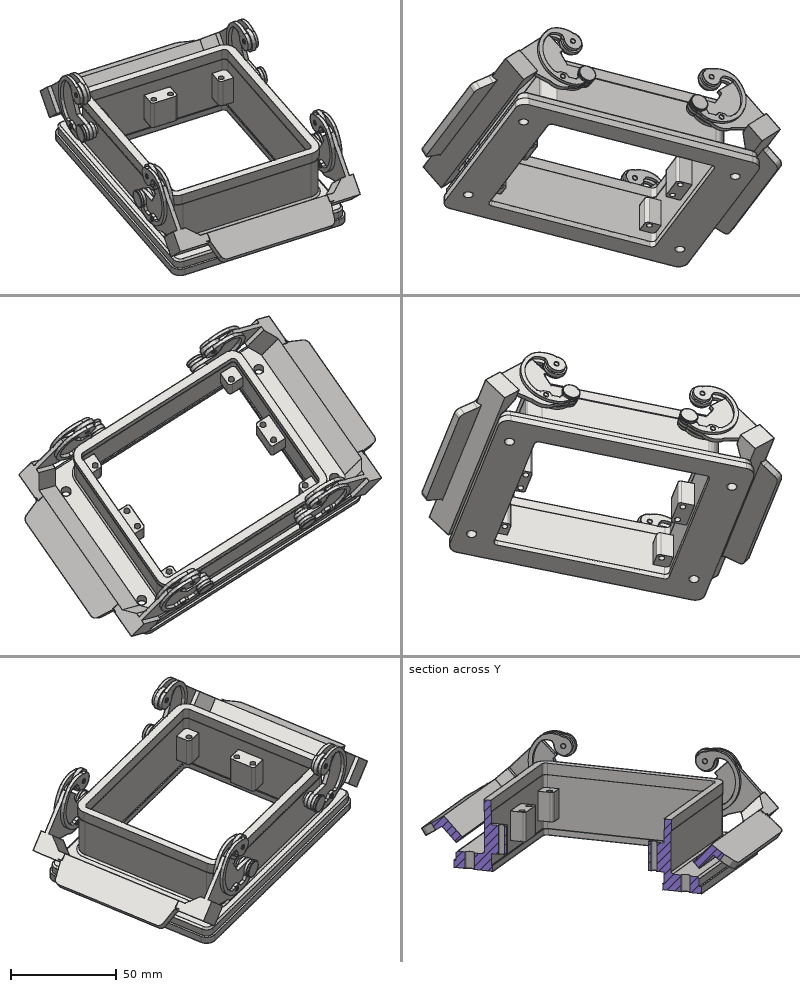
import cadquery as cq
import math

base_x, base_y, base_z = 126.1, 92.7, 3.7
base_corner = 4.9
collar_inset = 1.05
collar_top = 8.4
collar_edge = 1.0
bolt_x, bolt_y = 55.0, 32.5
bolt_diameter = 4.7

wall_x, wall_y = 95.2, 81.5
wall_corner = 6.3
foot_flare = 1.0
foot_chamfer = 0.95
rim_x, rim_y = 95.5, 82.5
rim_start, rim_top = 29.6, 35.3
window_x, window_y = 86.5, 72.6
window_corner = 2.1
lip_top = 3.0
lip_width = 0.6
rim_relief = 0.2

post_inner_x = 36.0
post_bottom, post_top = 8.7, 23.3
corner_post_y = 29.5
middle_post_y = 7.0
middle_post_edge, corner_post_edge = 1.3, 1.8
screw_x = 38.8
screw_ys = (4.5, 31.7)
screw_diameter = 2.7

plate_near, plate_far = 44.1, 46.2
cheek_near, cheek_far = 42.4, 47.9
ring_x, ring_z = 37.5, 34.0
ring_outer, ring_inner = 16.3, 14.2
tip_x, tip_z = 36.0, 42.9
tip_radius, roller_radius = 4.5, 5.5
pivot_x, pivot_z = 29.1, 25.0
pivot_cheek_radius, pivot_plate_radius = 3.9, 4.2
pivot_head_radius = 4.4
pivot_head_edge = 0.3
pivot_shaft_radius = 2.5
shaft_embed = 0.8
overall_width = 98.5
pivot_head_far = overall_width / 2
rivet_x, rivet_z = 41.2, 20.9
rivet_radius = 1.21
rivet_recess = 0.5

handle_x, handle_z = 64.2, 29.1
handle_half_width = 48.3
handle_length, handle_height = 10.2, 13.5
relief_depth = 5.7
relief_outer_y, relief_inner_y = 42.0, 35.7
flap_angle = 33.5
flap_thickness = 4.0
flap_end_x = 80.8
flap_root_half, flap_end_half = 32.2, 30.0
flap_flare_start = 3.7
flap_flare = 2.0
flap_corner = 2.9


def rounded_block(size_x, size_y, corner, bottom, top):
    """Centred upright block with rounded vertical corners."""
    block = cq.Workplane("XY").workplane(offset=bottom).rect(size_x, size_y).extrude(top - bottom)
    return block.edges("|Z").fillet(corner)


def front_plane(y):
    """Plane whose local axes are X and Z and which extrudes toward -Y."""
    return cq.Workplane("XZ", origin=(0, y, 0))


def front_disc(x, z, radius, near, far):
    """Disc with its axis along Y, between two distances on the -Y side."""
    return front_plane(-near).center(x, z).circle(radius).extrude(far - near)


def make_housing():
    base = rounded_block(base_x, base_y, base_corner, 0, base_z)
    collar = rounded_block(
        base_x - 2 * collar_inset, base_y - 2 * collar_inset, base_corner - collar_inset, 0, collar_top
    )
    collar = collar.faces(">Z").edges().chamfer(collar_edge)

    wall = rounded_block(wall_x, wall_y, wall_corner, 0, rim_top)
    rim = rounded_block(rim_x, rim_y, wall_corner, rim_start, rim_top)
    foot = rounded_block(
        wall_x + 2 * foot_flare, wall_y + 2 * foot_flare, wall_corner + foot_flare,
        0, collar_top + foot_flare,
    )
    foot = foot.faces(">Z").edges().chamfer(foot_chamfer)
    body = base.union(collar).union(foot).union(wall).union(rim)

    for bottom, widening in ((0, 0), (lip_top, lip_width), (rim_start, lip_width + rim_relief)):
        opening_x = window_x + 2 * widening
        opening_y = window_y + 2 * widening
        body = body.cut(rounded_block(opening_x, opening_y, window_corner, bottom, rim_top))

    bolt_holes = (
        cq.Workplane("XY").rect(2 * bolt_x, 2 * bolt_y, forConstruction=True)
        .vertices().circle(bolt_diameter / 2).extrude(collar_top)
    )
    return body.cut(bolt_holes)


def make_posts():
    """Screw posts on the +X wall: one at the middle and one at each corner."""
    wall_mid_x = (window_x / 2 + wall_x / 2) / 2
    wall_mid_y = (window_y / 2 + wall_y / 2) / 2
    height = post_top - post_bottom
    sketch = cq.Workplane("XY").workplane(offset=post_bottom)

    length = wall_mid_x - post_inner_x
    centre_x = (wall_mid_x + post_inner_x) / 2
    posts = (
        sketch.center(centre_x, 0).rect(length, 2 * middle_post_y).extrude(height)
        .edges("|Z and <X").fillet(middle_post_edge)
    )
    corner_centre_y = (wall_mid_y + corner_post_y) / 2
    corner_post = (
        sketch.center(centre_x, corner_centre_y).rect(length, wall_mid_y - corner_post_y).extrude(height)
        .edges("|Z and <X and <Y").fillet(corner_post_edge)
    )
    posts = posts.union(corner_post).union(corner_post.mirror("XZ"))

    screws = [(screw_x, side * y) for y in screw_ys for side in (-1, 1)]
    return (
        posts.faces(">Z").workplane(origin=(0, 0, post_top)).pushPoints(screws)
        .hole(screw_diameter)
    )


def make_hook():
    """C-shaped hook from the pivot around the ring to the rounded tip."""
    outline = (
        front_plane(-cheek_near)
        .moveTo(47.7, 46.7)
        .threePointArc((ring_x + ring_outer, ring_z), (ring_x, ring_z - ring_outer))
        .threePointArc((32.8, 18.5), (pivot_x, pivot_z - pivot_cheek_radius))
        .lineTo(pivot_x, pivot_z)
        .lineTo(33.1, 23.0)
        .lineTo(34.5, 21.0)
        .lineTo(38.2, 21.0)
        .lineTo(39.8, 23.0)
        .lineTo(42.7, 23.0)
        .lineTo(44.0, 22.2)
        .lineTo(45.8, 22.5)
        .threePointArc((ring_x + ring_inner, ring_z), (47.7, 44.0))
        .threePointArc((44.6, 45.1), (41.7, 44.8))
        .lineTo(tip_x + tip_radius, tip_z)
        .lineTo(tip_x, tip_z)
        .lineTo(tip_x, tip_z + tip_radius)
        .threePointArc((41.4, 48.5), (47.7, 46.7))
        .close()
        .extrude(cheek_far - cheek_near)
    )
    tip = front_disc(tip_x, tip_z, tip_radius, cheek_near, cheek_far)
    pivot_end = front_disc(pivot_x, pivot_z, pivot_cheek_radius, cheek_near, cheek_far)
    return outline.union(tip).union(pivot_end)


def make_plate():
    """Middle plate that fills the ring and runs on to the handle."""
    outline = (
        front_plane(-plate_near)
        .moveTo(handle_x, handle_z)
        .lineTo(48.7, 44.6)
        .lineTo(47.7, 44.0)
        .lineTo(40.5, 37.2)
        .lineTo(41.9, 35.7)
        .lineTo(40.9, 33.6)
        .lineTo(38.3, pivot_z + pivot_plate_radius)
        .lineTo(pivot_x, pivot_z + pivot_plate_radius)
        .lineTo(pivot_x, pivot_z - pivot_plate_radius)
        .lineTo(36.2, 17.6)
        .threePointArc((41.2, 15.5), (47.2, 17.3))
        .lineTo(54.7, 19.5)
        .close()
        .extrude(plate_far - plate_near)
    )
    return outline.union(front_disc(pivot_x, pivot_z, pivot_plate_radius, plate_near, plate_far))


def make_lever():
    ring_span = 4 * ring_outer
    gap = (
        front_plane(-plate_near).center(ring_x, ring_z).rect(ring_span, ring_span)
        .extrude(plate_far - plate_near)
    )
    roller = front_disc(tip_x, tip_z, roller_radius, plate_near, plate_far)
    lever = make_hook().cut(gap).union(make_plate()).union(roller)

    for x, z in ((tip_x, tip_z), (rivet_x, rivet_z)):
        for start in (cheek_near, cheek_far - rivet_recess):
            lever = lever.cut(front_disc(x, z, rivet_radius, start, start + rivet_recess))

    shaft = front_disc(pivot_x, pivot_z, pivot_shaft_radius, wall_y / 2 - shaft_embed, cheek_far)
    head = front_disc(pivot_x, pivot_z, pivot_head_radius, cheek_far, pivot_head_far)
    head = head.faces("<Y").edges().chamfer(pivot_head_edge)
    return lever.union(shaft).union(head)


def make_handle():
    """Bar square to the 45 degree levers, thinned between them, with a grip flap."""
    bar_plane = cq.Plane(origin=(handle_x, 0, handle_z), xDir=(0, 1, 0), normal=(-1, 0, -1))
    bar = (
        cq.Workplane(bar_plane)
        .polyline([
            (-handle_half_width, 0),
            (-relief_outer_y, 0),
            (-relief_inner_y, relief_depth),
            (relief_inner_y, relief_depth),
            (relief_outer_y, 0),
            (handle_half_width, 0),
            (handle_half_width, handle_length),
            (-handle_half_width, handle_length),
        ])
        .close()
        .extrude(handle_height)
    )

    slope = math.radians(flap_angle)
    root_x = handle_x + relief_depth * math.sin(math.pi / 4)
    root_z = handle_z - relief_depth * math.sin(math.pi / 4)
    flap_length = (flap_end_x - root_x) / math.cos(slope)
    flap_plane = cq.Plane(
        origin=(root_x, 0, root_z), xDir=(0, 1, 0), normal=(-math.sin(slope), 0, -math.cos(slope))
    )
    flare_end = flap_flare_start + flap_flare
    arc_offset = flap_flare * (1 - math.sin(math.pi / 4))
    half_flap = (
        cq.Workplane(flap_plane)
        .lineTo(flap_root_half, 0)
        .lineTo(flap_root_half, flap_flare_start)
        .lineTo(flap_root_half + flap_flare, flap_flare_start)
        .threePointArc(
            (flap_root_half + arc_offset, flap_flare_start + arc_offset), (flap_root_half, flare_end)
        )
        .lineTo(flap_end_half, flap_length)
        .lineTo(0, flap_length)
        .close()
        .extrude(flap_thickness)
    )
    flap = half_flap.union(half_flap.mirror("XZ"))
    thickness_edges = cq.selectors.ParallelDirSelector(flap_plane.zDir)
    flap = flap.edges(thickness_edges).edges(">X").fillet(flap_corner)
    return bar.union(flap)


lever = make_lever()
side = make_handle().union(lever).union(lever.mirror("XZ")).union(make_posts())
result = make_housing().union(side).union(side.mirror("YZ"))